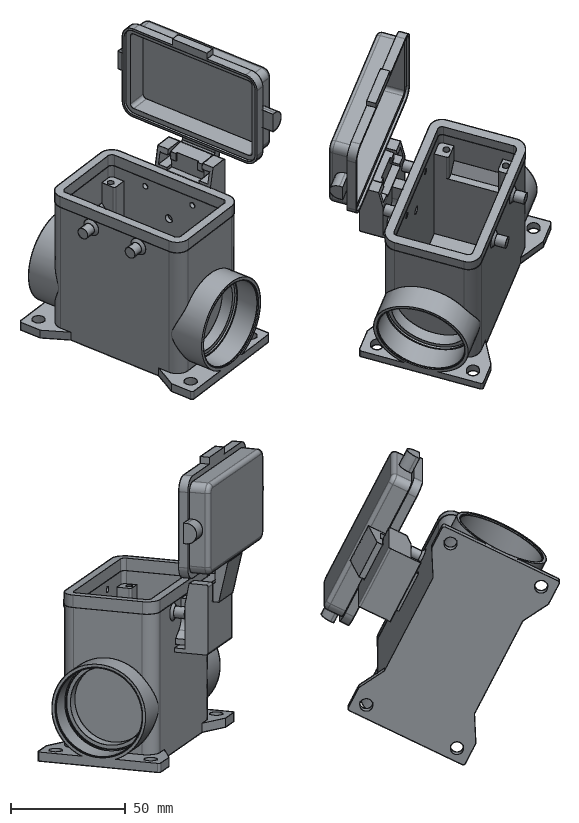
import cadquery as cq
import math

rim_length = 70.8
rim_width = 44.1
rim_height = 5.6
rim_overhang = 0.1
body_top = 73.2
corner_radius = 6.0
wall = 4.0
floor_thickness = 4.1
cavity_corner_radius = 2.0
cavity_step = 0.1
embed = 1.3

body_length = rim_length - 2 * rim_overhang
body_width = rim_width - 2 * rim_overhang
rim_bottom = body_top - rim_height
cavity_length = rim_length - 2 * wall
cavity_width = rim_width - 2 * wall

inset = 7.1
ledge_width = 3.1
ledge_top = 46.3
ramp_rise = 5.0
post_top = 61.7
post_width = 6.8
post_edge_radius = 1.1
screw_hole_radius = 1.5
screw_hole_depth = 8.0
screw_hole_x = 28.2
screw_hole_y = 13.6

end_x = 46.75
entry_radius = 21.8
entry_z = 24.5
entry_steps = [(20.3, 0.7), (19.9, 11.1), (19.4, 12.2), (17.7, 17.7)]

foot_half_width = 28.5
foot_thickness = 4.1
foot_flat_end_x = 35.5
foot_inner_x = 23.7
foot_corner_radius = 1.1
foot_hole_x = 41.0
foot_hole_y = 22.1
foot_hole_radius = 2.88

peg_x = 12.7
peg_z = 63.5
peg_radius = 2.61
peg_tip_y = 28.1
collar_radius = 4.0
collar_height = 1.1
peg_socket_radius = 1.3
lower_socket_radius = 1.9
lower_socket_z = 51.5
socket_depth = 2.0

hinge_half_width = 14.91
hinge_back = 39.0
hinge_front = 28.2
hinge_top_front = 30.2
hinge_top = 77.6
hinge_slope_bottom = 67.7
hinge_bottom = 46.0
hinge_lip_y = 23.4
hinge_lip_thickness = 1.9
hinge_edge_radius = 1.0
cheek = 1.6
slit_outer_x = 9.2
slit_inner_x = 8.7
pocket_depth = 8.5
pocket_bottom = 69.1
pocket_top = 74.9
tongue_front = 31.2
tongue_top_front = 76.2
tongue_notch_half_width = 5.8
tongue_notch_depth = 0.8
tongue_ear_bottom = 72.2

web_half_width = 2.5
web_top = 67.1
flare_top = 59.0
flare_radius = 6.7
flare_angle = 55.0
web_foot_half_width = 9.5
web_bottom = 48.0

lid_z = 107.6
flange_front = 33.3
flange_back = 37.6
flange_length = 72.8
flange_height = 46.1
flange_corner_radius = 6.0
shell_length = 68.5
shell_height = 41.0
shell_corner_radius = 3.9
lid_back = 46.8
lid_back_radius = 2.0
seal_border = 1.1
seal_depth = 1.2
lid_cavity_length = 65.5
lid_cavity_height = 39.0
lid_cavity_floor = 43.9
lid_cavity_corner_radius = 1.7
lug_half_span = 41.9
lug_radius = 4.61
lug_axis_y = 39.0
tab_half_width = 9.4
tab_top = 133.8
arm_half_width = 8.8
arm_bottom = 68.6
arm_front = 40.0
arm_tip_y = 41.7
arm_root_y = 46.0
arm_overlap = 0.5


def box(x, y, z):
    """Box between the given (low, high) limits along each axis."""
    size = (x[1] - x[0], y[1] - y[0], z[1] - z[0])
    return cq.Workplane("XY").box(*size, centered=False).translate((x[0], y[0], z[0]))


def rounded_box(length, width, bottom, top, radius):
    """Upright box centred on the Z axis with rounded vertical edges."""
    block = cq.Workplane("XY", origin=(0, 0, bottom)).rect(length, width).extrude(top - bottom)
    return block.edges("|Z").fillet(radius)


def lid_box(length, height, front, back, radius):
    """Box centred on the lid, running along Y, with rounded edges."""
    block = cq.Workplane("XZ", origin=(0, front, lid_z)).rect(length, height).extrude(front - back)
    return block.edges("|Y").fillet(radius)


def extrude_along_x(points, half_width):
    """Profile of (y, z) points extruded symmetrically about X = 0."""
    return cq.Workplane("YZ").polyline(points).close().extrude(half_width, both=True)


def rod_along_x(radius, y, z, start, end):
    return cq.Workplane("YZ", origin=(start, y, z)).circle(radius).extrude(end - start)


def both_ends(shape):
    return shape.union(shape.mirror("YZ"))


def both_sides(shape):
    return shape.union(shape.mirror("XZ"))


def foot():
    """Foot plate under the +X cable entry, tapering into the body."""
    outline = [
        (end_x, -foot_half_width),
        (end_x, foot_half_width),
        (foot_flat_end_x, foot_half_width),
        (foot_inner_x, body_width / 2),
        (foot_inner_x, -body_width / 2),
        (foot_flat_end_x, -foot_half_width),
    ]
    plate = cq.Workplane("XY").polyline(outline).close().extrude(foot_thickness)
    plate = plate.edges("|Z and >X").fillet(foot_corner_radius)
    holes = [(foot_hole_x, foot_hole_y), (foot_hole_x, -foot_hole_y)]
    return plate.cut(cq.Workplane("XY").pushPoints(holes).circle(foot_hole_radius).extrude(foot_thickness))


def end_wall():
    """Thickened lower part of the +X end wall, with a ramp down to a flat ledge."""
    wall_x = cavity_length / 2
    inner_x = wall_x - inset
    profile = [
        (wall_x + embed, floor_thickness - embed),
        (wall_x + embed, ledge_top + ramp_rise),
        (wall_x, ledge_top + ramp_rise),
        (inner_x + ledge_width, ledge_top),
        (inner_x, ledge_top),
        (inner_x, floor_thickness - embed),
    ]
    reach = cavity_width / 2 + embed
    return cq.Workplane("XZ").polyline(profile).close().extrude(reach, both=True)


def post():
    """Screw post in the +X, +Y corner of the cavity."""
    x = (cavity_length / 2 - inset, cavity_length / 2 + embed)
    y = (cavity_width / 2 - post_width, cavity_width / 2 + embed)
    column = box(x, y, (floor_thickness - embed, post_top))
    column = column.edges("|Z and <X and <Y").fillet(post_edge_radius)
    hole = cq.Workplane("XY", origin=(screw_hole_x, screw_hole_y, post_top))
    return column.cut(hole.circle(screw_hole_radius).extrude(-screw_hole_depth))


def cable_entry_bore():
    """Stepped blind bore entering the +X end."""
    bore = None
    for radius, depth in entry_steps:
        step = rod_along_x(radius, 0, entry_z, end_x - depth, end_x)
        bore = step if bore is None else bore.union(step)
    return bore


def peg():
    """Turned peg with a conical collar on the +Y side at +X."""
    root_y = body_width / 2 - embed
    collar_y = rim_width / 2 + collar_height
    profile = [
        (0, root_y),
        (collar_radius, root_y),
        (collar_radius, body_width / 2),
        (peg_radius, collar_y),
        (peg_radius, peg_tip_y),
        (0, peg_tip_y),
    ]
    turned = cq.Workplane("XY").polyline(profile).close().revolve(360, (0, 0, 0), (0, 1, 0))
    return turned.translate((peg_x, 0, peg_z))


def wall_socket(radius, x, z):
    """Shallow round recess in the inner face of the +Y wall."""
    start_y = cavity_width / 2 - embed
    return cq.Workplane("XZ", origin=(x, start_y, z)).circle(radius).extrude(-embed - socket_depth)


def housing():
    body = rounded_box(body_length, body_width, 0, rim_bottom, corner_radius)
    body = body.union(rounded_box(rim_length, rim_width, rim_bottom, body_top, corner_radius))
    entry = rod_along_x(entry_radius, 0, entry_z, body_length / 2 - corner_radius, end_x)
    body = body.union(both_ends(entry))
    body = body.union(both_ends(foot()))
    body = body.cut(rounded_box(cavity_length, cavity_width, rim_bottom, body_top, cavity_corner_radius))
    body = body.cut(
        rounded_box(
            cavity_length - 2 * cavity_step,
            cavity_width - 2 * cavity_step,
            floor_thickness,
            rim_bottom,
            cavity_corner_radius,
        )
    )
    body = body.union(both_ends(end_wall()))
    body = body.union(both_ends(both_sides(post())))
    body = body.cut(both_ends(cable_entry_bore()))
    body = body.union(both_ends(both_sides(peg())))
    body = body.cut(both_ends(both_sides(wall_socket(peg_socket_radius, peg_x, peg_z))))
    return body.cut(wall_socket(lower_socket_radius, 0, lower_socket_z))


def hinge_bracket():
    profile = [
        (hinge_back, hinge_bottom),
        (hinge_back, hinge_top),
        (hinge_top_front, hinge_top),
        (hinge_front, hinge_slope_bottom),
        (hinge_front, hinge_bottom + hinge_lip_thickness),
        (hinge_lip_y, hinge_bottom + hinge_lip_thickness),
        (hinge_lip_y, hinge_bottom),
    ]
    bracket = extrude_along_x(profile, hinge_half_width)
    bracket = bracket.edges("|X and >Y").fillet(hinge_edge_radius)

    pocket_y = (hinge_front, hinge_front + pocket_depth)
    pocket = box((slit_outer_x, hinge_half_width - cheek), pocket_y, (pocket_bottom, pocket_top))

    slit = box((slit_inner_x, slit_outer_x), (hinge_front, hinge_back), (pocket_bottom, hinge_top))
    bracket = bracket.cut(both_ends(pocket)).cut(both_ends(slit))

    tongue_space = [
        (hinge_front, hinge_slope_bottom),
        (tongue_front, hinge_slope_bottom),
        (tongue_front, tongue_top_front),
        (hinge_back, hinge_top),
        (hinge_front, hinge_top),
    ]
    bracket = bracket.cut(extrude_along_x(tongue_space, slit_inner_x))

    notch_y = (tongue_front, tongue_front + tongue_notch_depth)
    notch = box((-tongue_notch_half_width, tongue_notch_half_width), notch_y, (hinge_slope_bottom, hinge_top))
    notch = notch.union(box((-slit_inner_x, slit_inner_x), notch_y, (hinge_slope_bottom, tongue_ear_bottom)))
    return bracket.cut(notch)


def hinge_web():
    """Rib between body and bracket; each flank is a concave arc then a tangent slope."""
    angle = math.radians(flare_angle)

    def flank_point(turn):
        x = web_half_width + flare_radius * (1 - math.cos(turn))
        return x, flare_top - flare_radius * math.sin(turn)

    middle = flank_point(angle / 2)
    end = flank_point(angle)
    foot_z = end[1] - (web_foot_half_width - end[0]) / math.tan(angle)
    half = (
        cq.Workplane("XZ", origin=(0, body_width / 2 - embed, 0))
        .moveTo(0, web_bottom)
        .lineTo(0, web_top)
        .lineTo(web_half_width, web_top)
        .lineTo(web_half_width, flare_top)
        .threePointArc(middle, end)
        .lineTo(web_foot_half_width, foot_z)
        .lineTo(web_foot_half_width, web_bottom)
        .close()
        .extrude(body_width / 2 - embed - hinge_front)
    )
    return both_ends(half)


def lid():
    shell = lid_box(shell_length, shell_height, flange_front, lid_back, shell_corner_radius)
    shell = shell.faces(">Y").edges().fillet(lid_back_radius)
    shell = shell.union(
        lid_box(flange_length, flange_height, flange_front, flange_back, flange_corner_radius)
    )

    tab = box((-tab_half_width, tab_half_width), (flange_front, flange_back), (lid_z, tab_top))
    shell = shell.union(tab)

    lug_x = (-lug_half_span, lug_half_span)
    lug_heights = (lid_z - lug_radius, lid_z + lug_radius)
    lugs = rod_along_x(lug_radius, lug_axis_y, lid_z, *lug_x)
    lugs = lugs.intersect(box(lug_x, (flange_back, lid_back), lug_heights))
    shell = shell.union(lugs).union(box(lug_x, (flange_back, lug_axis_y), lug_heights))

    flange_bottom = lid_z - flange_height / 2
    shell_bottom = lid_z - shell_height / 2
    arm = [
        (flange_back, flange_bottom),
        (arm_front, flange_bottom),
        (arm_front, hinge_top),
        (hinge_back, hinge_top - hinge_edge_radius),
        (hinge_back, arm_bottom),
        (arm_tip_y, arm_bottom),
        (arm_root_y, shell_bottom),
        (arm_root_y - lid_back_radius, shell_bottom + arm_overlap),
        (flange_back, shell_bottom + arm_overlap),
    ]
    shell = shell.union(extrude_along_x(arm, arm_half_width))

    shell = shell.cut(
        lid_box(
            flange_length - 2 * seal_border,
            flange_height - 2 * seal_border,
            flange_front,
            flange_front + seal_depth,
            flange_corner_radius - seal_border,
        )
    )
    return shell.cut(
        lid_box(
            lid_cavity_length,
            lid_cavity_height,
            flange_front,
            lid_cavity_floor,
            lid_cavity_corner_radius,
        )
    )


result = housing().union(hinge_web()).union(hinge_bracket()).union(lid())